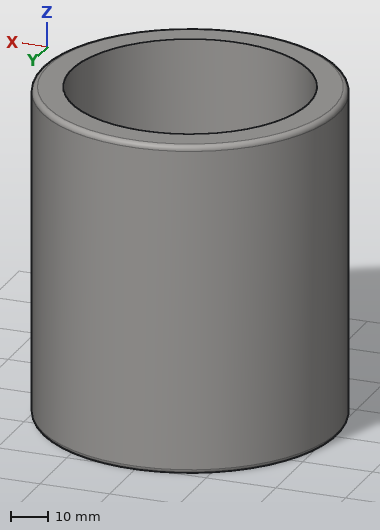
import cadquery as cq

length = 95.0
outer_diameter = 85.0
bore_diameter = 68.0
edge_radius = 1.5

sleeve = cq.Workplane("XY").circle(outer_diameter / 2).extrude(length)

sleeve = sleeve.faces("<Z or >Z").edges().fillet(edge_radius)

result = sleeve.faces(">Z").workplane().hole(bore_diameter)